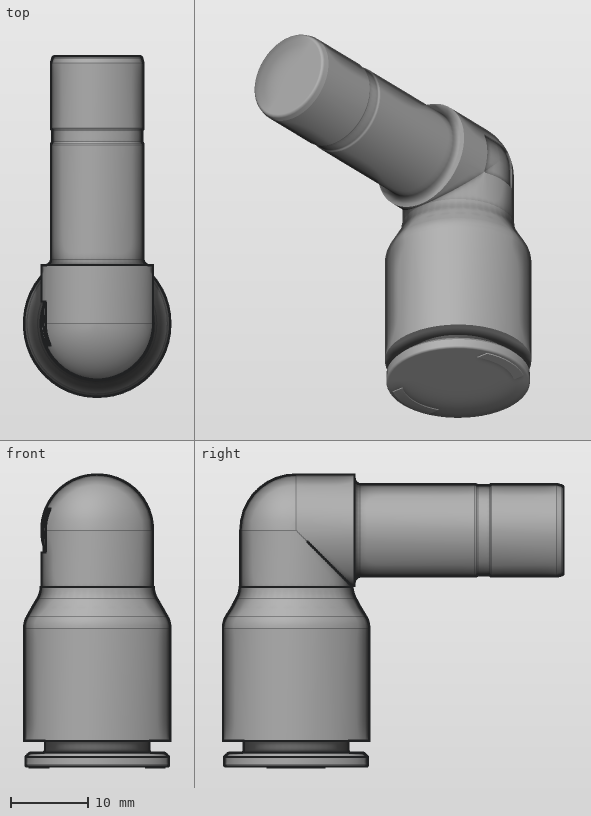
import cadquery as cq
import math


ELBOW_RADIUS = 7.25
ELBOW_ARM = 7.6

SOCKET_RADIUS = 9.5
SOCKET_NECK_RADIUS = 7.35
SHOULDER_ANGLE = math.radians(30)
SHOULDER_ROUND = 3.0
SHOULDER_TOP_Z = -7.35
SOCKET_BOTTOM_Z = -27.3

STEM_RADIUS = 6.0
STEM_END_Y = 44.15 - SOCKET_RADIUS
STEM_ROOT_FILLET = 0.7
STEM_TAPER_LENGTH = 0.6
STEM_TAPER_ANGLE = math.radians(15)
STEM_END_ROUND = 0.4
GROOVE_DEPTH = 0.155
GROOVE_START_Y = 23.15
GROOVE_END_Y = 25.35
GROOVE_INNER_WALL = 0.45
GROOVE_OUTER_WALL = 0.3

RECESS_SIDE = 5.7
RECESS_DEPTH = 0.3
RECESS_CORNER = 0.25

COLLAR_NECK_RADIUS = 6.8
FLANGE_RADIUS = 9.3
FLANGE_TOP_Z = -28.8
FLANGE_BOTTOM_Z = -30.6
FLANGE_TOP_CHAMFER = 0.57
FLANGE_TOP_ROUND = 0.45
FLANGE_BOTTOM_ROUND = 0.25
COLLAR_NECK_FILLET = 0.2
PAD_HEIGHT = 0.15
PAD_INNER_RADIUS = 7.35
PAD_OUTER_RADIUS = 8.75
PAD_WIDTH = 7.4


def make_elbow(radius):
    """A quarter-turn elbow with a spherical corner and arms along +Y and -Z."""
    ball = cq.Workplane("XY").sphere(radius)
    stem_arm = cq.Workplane("XZ").circle(radius).extrude(-ELBOW_ARM)
    socket_arm = cq.Workplane("XY").circle(radius).extrude(SHOULDER_TOP_Z)
    return ball.union(stem_arm).union(socket_arm)


def make_socket():
    """The wide cylinder below the elbow, with a rounded conical shoulder."""
    round_drop = SHOULDER_ROUND * math.sin(SHOULDER_ANGLE)
    round_step = SHOULDER_ROUND * (1 - math.cos(SHOULDER_ANGLE))
    half_drop = SHOULDER_ROUND * math.sin(SHOULDER_ANGLE / 2)
    half_step = SHOULDER_ROUND * (1 - math.cos(SHOULDER_ANGLE / 2))
    cone_start = (SOCKET_NECK_RADIUS + round_step, SHOULDER_TOP_Z - round_drop)
    cone_end_radius = SOCKET_RADIUS - round_step
    cone_drop = (cone_end_radius - cone_start[0]) / math.tan(SHOULDER_ANGLE)
    cone_end = (cone_end_radius, cone_start[1] - cone_drop)
    wall_top_z = cone_end[1] - round_drop
    return (
        cq.Workplane("XZ")
        .moveTo(0, SHOULDER_TOP_Z)
        .lineTo(SOCKET_NECK_RADIUS, SHOULDER_TOP_Z)
        .threePointArc((SOCKET_NECK_RADIUS + half_step, SHOULDER_TOP_Z - half_drop), cone_start)
        .lineTo(*cone_end)
        .threePointArc((SOCKET_RADIUS - half_step, wall_top_z + half_drop), (SOCKET_RADIUS, wall_top_z))
        .lineTo(SOCKET_RADIUS, SOCKET_BOTTOM_Z)
        .lineTo(0, SOCKET_BOTTOM_Z)
        .close()
        .revolve(360, (0, 0, 0), (0, 1, 0))
    )


def s_wall(profile, start, end):
    """Add an S-shaped groove wall of two tangent arcs, both parallel to the axis at their outer ends."""
    middle = ((start[0] + end[0]) / 2, (start[1] + end[1]) / 2)
    return profile.tangentArcPoint(middle, relative=False).tangentArcPoint(end, relative=False)


def make_stem():
    """The plug-in stem: root fillet at the elbow, shallow grip groove, tapered and rounded end."""
    diagonal = math.sqrt(0.5)
    floor_radius = STEM_RADIUS - GROOVE_DEPTH
    groove_start = (STEM_RADIUS, GROOVE_START_Y)
    floor_start = (floor_radius, GROOVE_START_Y + GROOVE_INNER_WALL)
    floor_end = (floor_radius, GROOVE_END_Y - GROOVE_OUTER_WALL)
    groove_end = (STEM_RADIUS, GROOVE_END_Y)
    taper_end_y = STEM_END_Y - STEM_END_ROUND * (1 - math.sin(STEM_TAPER_ANGLE))
    taper_end_radius = STEM_RADIUS - STEM_TAPER_LENGTH * math.tan(STEM_TAPER_ANGLE)
    end_face_radius = taper_end_radius - STEM_END_ROUND * math.cos(STEM_TAPER_ANGLE)
    root_end_y = ELBOW_ARM + STEM_ROOT_FILLET
    root_bulge = STEM_ROOT_FILLET * (1 - diagonal)

    profile = (
        cq.Workplane("XY")
        .lineTo(STEM_RADIUS + STEM_ROOT_FILLET, 0)
        .lineTo(STEM_RADIUS + STEM_ROOT_FILLET, ELBOW_ARM)
        .threePointArc((STEM_RADIUS + root_bulge, ELBOW_ARM + root_bulge), (STEM_RADIUS, root_end_y))
        .lineTo(*groove_start)
    )
    profile = s_wall(profile, groove_start, floor_start)
    profile = s_wall(profile.lineTo(*floor_end), floor_end, groove_end)
    return (
        profile.lineTo(STEM_RADIUS, taper_end_y - STEM_TAPER_LENGTH)
        .lineTo(taper_end_radius, taper_end_y)
        .tangentArcPoint((end_face_radius, STEM_END_Y), relative=False)
        .lineTo(0, STEM_END_Y)
        .close()
        .revolve(360, (0, 0, 0), (0, 1, 0))
    )


def make_flank_recess():
    """A square recess of even depth that follows the curved -X flank of the elbow."""
    square = (
        cq.Workplane("YZ")
        .rect(RECESS_SIDE, RECESS_SIDE)
        .extrude(-ELBOW_RADIUS)
        .edges("|X")
        .fillet(RECESS_CORNER)
    )
    return square.cut(make_elbow(ELBOW_RADIUS - RECESS_DEPTH))


def make_housing():
    """Elbow, socket and stem as one piece."""
    housing = make_elbow(ELBOW_RADIUS).union(make_socket()).union(make_stem())
    return housing.cut(make_flank_recess())


def make_release_collar():
    """Flanged collar under the socket with two raised pads on its underside."""
    flange = (
        cq.Workplane("XY", origin=(0, 0, FLANGE_BOTTOM_Z))
        .circle(FLANGE_RADIUS)
        .extrude(FLANGE_TOP_Z - FLANGE_BOTTOM_Z)
        .faces("<Z").edges().fillet(FLANGE_BOTTOM_ROUND)
        .faces(">Z").edges().chamfer(FLANGE_TOP_CHAMFER)
        .faces(">Z").edges().fillet(FLANGE_TOP_ROUND)
    )
    neck = (
        cq.Workplane("XZ")
        .moveTo(0, SOCKET_BOTTOM_Z)
        .lineTo(COLLAR_NECK_RADIUS, SOCKET_BOTTOM_Z)
        .lineTo(COLLAR_NECK_RADIUS, FLANGE_TOP_Z + COLLAR_NECK_FILLET)
        .tangentArcPoint((COLLAR_NECK_FILLET, -COLLAR_NECK_FILLET))
        .lineTo(0, FLANGE_TOP_Z)
        .close()
        .revolve(360, (0, 0, 0), (0, 1, 0))
    )
    pad_ring = (
        cq.Workplane("XY", origin=(0, 0, FLANGE_BOTTOM_Z))
        .circle(PAD_OUTER_RADIUS)
        .circle(PAD_INNER_RADIUS)
        .extrude(-PAD_HEIGHT)
    )
    pad_strip = (
        cq.Workplane("XY", origin=(0, 0, FLANGE_BOTTOM_Z))
        .rect(2 * FLANGE_RADIUS, PAD_WIDTH)
        .extrude(-PAD_HEIGHT)
    )
    return neck.union(flange).union(pad_ring.intersect(pad_strip))


housing = make_housing()
release_collar = make_release_collar()

result = cq.Compound.makeCompound([housing.val(), release_collar.val()])